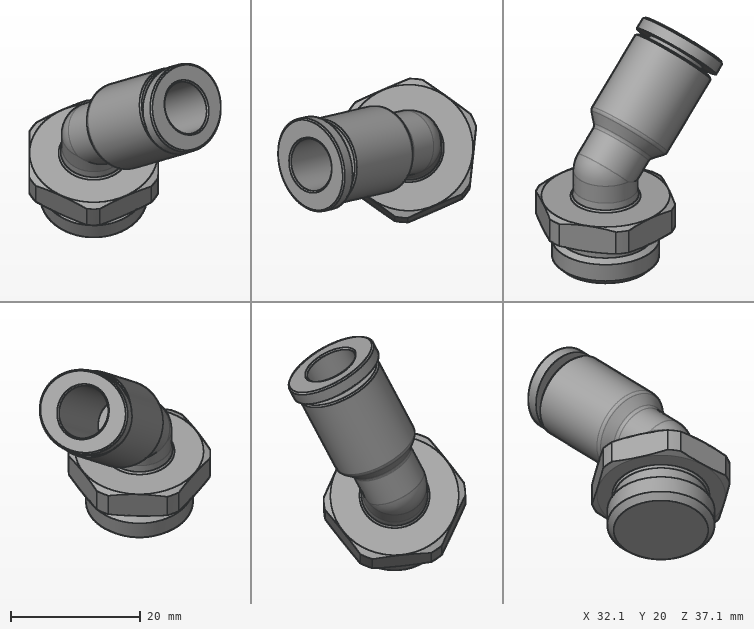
import cadquery as cq
import math


stud_radius = 8.33
stud_chamfer = 1.0
stud_shoulder_height = 3.9
groove_radius = 7.3
groove_bottom_height = 4.5
groove_flare_height = 6.5
groove_flare_radius = 7.55

hex_bottom = 6.95
hex_top = 11.5
hex_sides = 6
hex_across_flats = 20.0
hex_corner_radius = 11.0
hex_bevel_radius = 9.95
hex_top_bevel_angle = 20.0
hex_bottom_bevel_angle = 15.0

elbow_radius = 5.0
elbow_height = 16.0
elbow_angle = 45.0
neck_taper_height = 13.0
neck_foot_height = 11.8
neck_foot_radius = 5.15
neck_flare_radius = 5.45

socket_radius = 6.8
socket_cone_start = 5.0
socket_cone_end = 7.0
socket_cone_fillet = 0.9
socket_top = 20.7
socket_chamfer = 0.25

collar_neck_radius = 4.8
collar_bottom = 21.52
collar_top = 23.6
collar_minor_radius = 6.5
collar_major_radius = 7.5
collar_chamfer = 0.25

bore_radius = 4.1
bore_bottom = socket_cone_end
bore_chamfer = 0.25


def revolve_profile(points):
    """Revolve a closed outline of (radius, height) points about the Z axis."""
    return cq.Workplane("XZ").polyline(points).close().revolve(360, (0, 0, 0), (0, 1, 0))


def make_stud():
    """Stud with a lead-in chamfer and a seal groove below the hexagon."""
    return revolve_profile([
        (0, 0),
        (stud_radius - stud_chamfer, 0),
        (stud_radius, stud_chamfer),
        (stud_radius, stud_shoulder_height),
        (groove_radius, groove_bottom_height),
        (groove_radius, groove_flare_height),
        (groove_flare_radius, hex_bottom),
        (0, hex_bottom),
    ])


def make_hexagon():
    """Hexagon with turned corners, bevelled on its top and bottom faces."""
    bevel_width = hex_corner_radius - hex_bevel_radius
    top_drop = bevel_width * math.tan(math.radians(hex_top_bevel_angle))
    bottom_rise = bevel_width * math.tan(math.radians(hex_bottom_bevel_angle))
    corner_diameter = hex_across_flats / math.cos(math.pi / hex_sides)
    prism = (
        cq.Workplane("XY")
        .workplane(offset=hex_bottom)
        .polygon(hex_sides, corner_diameter)
        .extrude(hex_top - hex_bottom)
    )
    turned_blank = revolve_profile([
        (0, hex_bottom),
        (hex_bevel_radius, hex_bottom),
        (hex_corner_radius, hex_bottom + bottom_rise),
        (hex_corner_radius, hex_top - top_drop),
        (hex_bevel_radius, hex_top),
        (0, hex_top),
    ])
    return prism.intersect(turned_blank)


def make_neck():
    """Upright neck, flared at its foot and rounded by a ball at the elbow."""
    upright = revolve_profile([
        (0, hex_top),
        (neck_flare_radius, hex_top),
        (neck_foot_radius, neck_foot_height),
        (elbow_radius, neck_taper_height),
        (elbow_radius, elbow_height),
        (0, elbow_height),
    ])
    ball = cq.Workplane("XY").sphere(elbow_radius).translate((0, 0, elbow_height))
    return upright.union(ball)


def tilt_onto_elbow(shape):
    """Move a shape built on the Z axis onto the tilted socket axis."""
    tilted = shape.rotate((0, 0, 0), (0, 1, 0), elbow_angle)
    return tilted.translate((0, 0, elbow_height))


def make_socket():
    """Socket body widening from the elbow through a blended cone."""
    body = revolve_profile([
        (0, 0),
        (elbow_radius, 0),
        (elbow_radius, socket_cone_start),
        (socket_radius, socket_cone_end),
        (socket_radius, socket_top),
        (0, socket_top),
    ])
    body = body.faces(">Z").edges().chamfer(socket_chamfer)
    reach = socket_radius + socket_cone_fillet
    cone_zone = cq.selectors.BoxSelector(
        (-reach, -reach, socket_cone_start - socket_cone_fillet),
        (reach, reach, socket_cone_end + socket_cone_fillet),
        boundingbox=True,
    )
    return body.edges(cone_zone).edges("%CIRCLE").fillet(socket_cone_fillet)


def make_collar():
    """Release collar: a round neck carrying an oval flange, wide along Y."""
    neck = (
        cq.Workplane("XY")
        .workplane(offset=socket_top)
        .circle(collar_neck_radius)
        .extrude(collar_bottom - socket_top)
    )
    flange = (
        cq.Workplane("XY")
        .workplane(offset=collar_bottom)
        .ellipse(collar_minor_radius, collar_major_radius)
        .extrude(collar_top - collar_bottom)
        .faces(">Z")
        .edges()
        .chamfer(collar_chamfer)
    )
    return neck.union(flange)


def make_bore():
    """Blind tube bore with a chamfered mouth."""
    return revolve_profile([
        (0, bore_bottom),
        (bore_radius, bore_bottom),
        (bore_radius, collar_top - bore_chamfer),
        (bore_radius + bore_chamfer, collar_top),
        (0, collar_top),
    ])


result = (
    make_stud()
    .union(make_hexagon())
    .union(make_neck())
    .union(tilt_onto_elbow(make_socket()))
    .union(tilt_onto_elbow(make_collar()))
    .cut(tilt_onto_elbow(make_bore()))
)